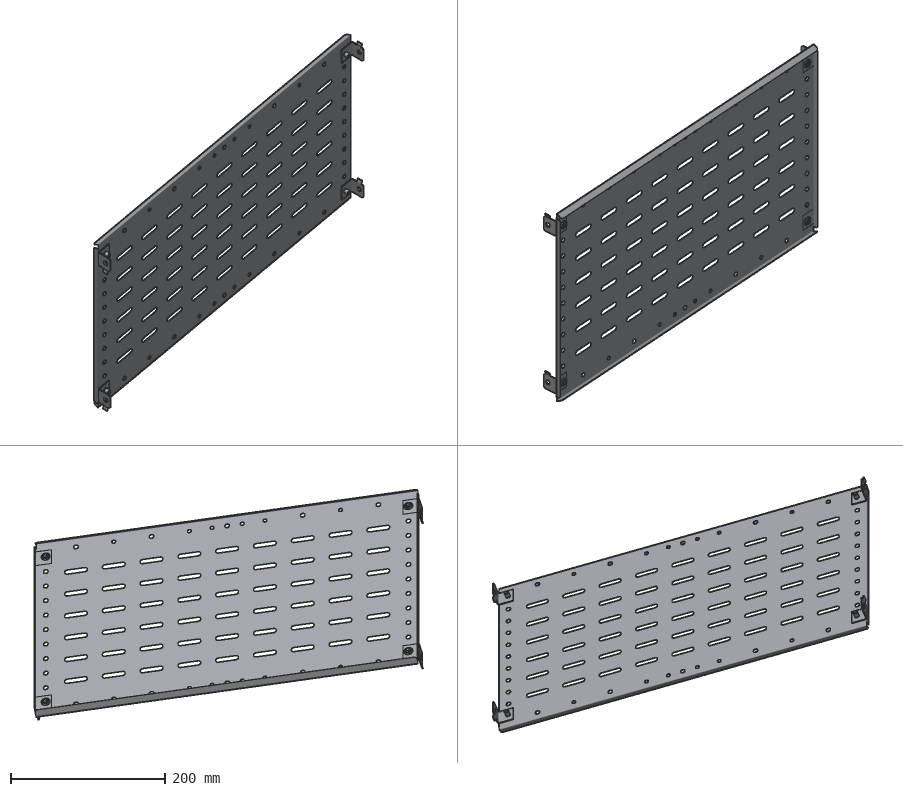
import cadquery as cq
import math

SHEET = 1.0
PANEL_BACK = 9.5
PANEL_FRONT = PANEL_BACK - SHEET
HALF_WIDTH = 253.5
HALF_HEIGHT = 149.0
BEND_RADIUS = 1.3
INNER_BEND_RADIUS = BEND_RADIUS - SHEET

LIP_SLOPE = 30
LIP_HALF_LENGTH = HALF_WIDTH - SHEET
LIP_CORNER = 2.5

FLANGE_FRONT = 2.0
FLANGE_HALF_HEIGHT = 141.0
FLANGE_CORNER = 2.5

SLOT_LENGTH = 30.0
SLOT_WIDTH = 7.0
SLOT_COLUMNS = 9
SLOT_ROWS = 6
COLUMN_SPAN = 400.0
ROW_SPAN = 187.5
COLUMN_PITCH = COLUMN_SPAN / (SLOT_COLUMNS - 1)
ROW_PITCH = ROW_SPAN / (SLOT_ROWS - 1)
EDGE_ROW_Z = 135.0
LARGE_HOLE = 6.0
SMALL_HOLE = 5.0
EXTRA_HOLE_Y = 20.0

SIDE_COLUMN_Y = 240.0
BOLT_Z = 125.0
SIDE_HOLE_COUNT = 9
SIDE_HOLE_PITCH = 2 * BOLT_Z / (SIDE_HOLE_COUNT + 1)

BRACKET_SHEET = 1.5
BRACKET_HALF_HEIGHT = 12.0
BRACKET_INNER_Y = 232.5
BRACKET_REAR = 30.5
BRACKET_BEND_RADIUS = 2.0
BRACKET_CORNER = 2.5
EAR_HOLE_OUTER = 7.0
EAR_HOLE_INNER = 5.0
TAB_X = 23.0
TAB_WIDTH = 7.5
TAB_LENGTH = 5.0
TAB_TILT = 18
OUTER_Y = 256
EAR_Y = OUTER_Y - TAB_LENGTH * math.sin(math.radians(TAB_TILT))

SHANK_DIAMETER = 6.0
SHANK_END = 18.0
SHANK_CHAMFER = 1.0
COLLAR_DIAMETER = 12.0
COLLAR_HEIGHT = 2.0
BUTTON_DIAMETER = 6.5
BUTTON_HEIGHT = 2.0
HEAD_CHAMFER = 1.3


def box(x_range, y_range, z_range):
    """A box between two limits on each axis."""
    size = [high - low for low, high in (x_range, y_range, z_range)]
    corner = (x_range[0], y_range[0], z_range[0])
    return cq.Workplane("XY").box(*size, centered=False).translate(corner)


def lip():
    """The upper lip: the panel's edge bent forward and down, with a strip of the panel below it."""
    slope = math.radians(LIP_SLOPE)
    axis_x = PANEL_BACK - BEND_RADIUS
    axis_z = HALF_HEIGHT - BEND_RADIUS

    def on_bend(radius, angle):
        return (axis_x + radius * math.cos(angle), axis_z + radius * math.sin(angle))

    end_angle = math.pi / 2 + slope
    middle_angle = end_angle / 2
    outer_end = on_bend(BEND_RADIUS, end_angle)
    inner_end = on_bend(INNER_BEND_RADIUS, end_angle)
    length = outer_end[0] / math.cos(slope)
    run = (-length * math.cos(slope), -length * math.sin(slope))
    return (
        cq.Workplane("XZ", origin=(0, LIP_HALF_LENGTH, 0))
        .moveTo(PANEL_FRONT, FLANGE_HALF_HEIGHT)
        .lineTo(PANEL_BACK, FLANGE_HALF_HEIGHT)
        .lineTo(PANEL_BACK, axis_z)
        .threePointArc(on_bend(BEND_RADIUS, middle_angle), outer_end)
        .line(*run)
        .lineTo(inner_end[0] + run[0], inner_end[1] + run[1])
        .lineTo(*inner_end)
        .threePointArc(on_bend(INNER_BEND_RADIUS, middle_angle), (PANEL_FRONT, axis_z))
        .close()
        .extrude(2 * LIP_HALF_LENGTH)
        .faces("<X")
        .edges("not |Y")
        .chamfer(LIP_CORNER)
    )


def folded_plate():
    """The panel with its side flanges, before the lips and openings."""
    width = (-HALF_WIDTH, HALF_WIDTH)
    inner_width = (-HALF_WIDTH + SHEET, HALF_WIDTH - SHEET)
    height = (-FLANGE_HALF_HEIGHT, FLANGE_HALF_HEIGHT)
    tray = box((FLANGE_FRONT, PANEL_BACK), width, height)
    tray = tray.edges("|Z and >X").fillet(BEND_RADIUS)
    tray = tray.edges("|Y and <X").chamfer(FLANGE_CORNER)
    hollow = box((0, PANEL_FRONT), inner_width, height)
    hollow = hollow.edges("|Z and >X").fillet(INNER_BEND_RADIUS)
    return tray.cut(hollow)


def drill(diameter, points):
    """Cylinders along X through the panel at (Y, Z) points."""
    return cq.Workplane("YZ").pushPoints(points).circle(diameter / 2).extrude(BRACKET_REAR)


def centred(count, pitch):
    """Evenly spaced positions, centred on zero."""
    return [(step - (count - 1) / 2) * pitch for step in range(count)]


def slots():
    """The grid of slots, as bodies to cut away."""
    return (
        cq.Workplane("YZ")
        .rarray(COLUMN_PITCH, ROW_PITCH, SLOT_COLUMNS, SLOT_ROWS)
        .slot2D(SLOT_LENGTH, SLOT_WIDTH)
        .extrude(BRACKET_REAR)
    )


def round_holes():
    """All round holes of the panel, as bodies to cut away."""
    columns = centred(SLOT_COLUMNS, COLUMN_PITCH)
    large_ys = columns[::2]
    small_ys = columns[1::2] + [-EXTRA_HOLE_Y, EXTRA_HOLE_Y]
    large = [(y, z) for y in large_ys for z in (-EDGE_ROW_Z, EDGE_ROW_Z)]
    small = [(y, z) for y in small_ys for z in (-EDGE_ROW_Z, EDGE_ROW_Z)]
    sides = (-SIDE_COLUMN_Y, SIDE_COLUMN_Y)
    large += [(y, z) for y in sides for z in centred(SIDE_HOLE_COUNT, SIDE_HOLE_PITCH)]
    bolted = [(y, z) for y in sides for z in (-BOLT_Z, BOLT_Z)]
    holes = drill(LARGE_HOLE, large).add(drill(SMALL_HOLE, small))
    return holes.add(drill(SHANK_DIAMETER, bolted)).combine()


def panel():
    """The folded plate with its two lips and all its openings."""
    body = folded_plate().union(lip()).union(lip().mirror("XY"))
    return body.cut(slots()).cut(round_holes())


def tab():
    """The tab on the upper edge of the ear, tilted outward."""
    tilt = math.radians(TAB_TILT)
    inner_face = EAR_Y - BRACKET_SHEET
    tip_z = BRACKET_HALF_HEIGHT + TAB_LENGTH * math.cos(tilt)
    inner_tip = (OUTER_Y - BRACKET_SHEET * math.cos(tilt), tip_z + BRACKET_SHEET * math.sin(tilt))
    outline = [
        (inner_face, BRACKET_HALF_HEIGHT),
        inner_tip,
        (OUTER_Y, tip_z),
        (EAR_Y, BRACKET_HALF_HEIGHT),
    ]
    start = cq.Workplane("YZ", origin=(TAB_X - TAB_WIDTH / 2, 0, 0))
    return start.polyline(outline).close().extrude(TAB_WIDTH)


def bracket():
    """The bracket on the +Y side, with its middle at Z = 0."""
    height = (-BRACKET_HALF_HEIGHT, BRACKET_HALF_HEIGHT)
    angle = box((PANEL_BACK, BRACKET_REAR), (BRACKET_INNER_Y, EAR_Y), height)
    angle = angle.edges("|Z and <X and >Y").fillet(BRACKET_BEND_RADIUS)
    angle = angle.edges("|Y and >X").chamfer(BRACKET_CORNER)
    inner_face = EAR_Y - BRACKET_SHEET
    space = box((PANEL_BACK + BRACKET_SHEET, BRACKET_REAR), (BRACKET_INNER_Y, inner_face), height)
    space = space.edges("|Z and <X and >Y").fillet(BRACKET_BEND_RADIUS - BRACKET_SHEET)
    ear_hole = cq.Solid.makeCone(
        EAR_HOLE_OUTER / 2,
        EAR_HOLE_INNER / 2,
        BRACKET_SHEET,
        pnt=cq.Vector(TAB_X, EAR_Y, 0),
        dir=cq.Vector(0, -1, 0),
    )
    base_hole = drill(SHANK_DIAMETER, [(SIDE_COLUMN_Y, 0)])
    return angle.cut(space).union(tab()).cut(cq.Workplane(ear_hole)).cut(base_hole)


def bolt():
    """A bolt along the X axis: a chamfered collar, a button on its front and a shank behind."""
    seat = cq.Workplane("YZ", origin=(PANEL_FRONT, 0, 0))
    collar = seat.circle(COLLAR_DIAMETER / 2).extrude(-COLLAR_HEIGHT)
    collar = collar.faces("<X").chamfer(HEAD_CHAMFER)
    button = seat.circle(BUTTON_DIAMETER / 2).extrude(-COLLAR_HEIGHT - BUTTON_HEIGHT)
    button = button.faces("<X").chamfer(HEAD_CHAMFER)
    shank = seat.circle(SHANK_DIAMETER / 2).extrude(SHANK_END - PANEL_FRONT)
    shank = shank.faces(">X").chamfer(SHANK_CHAMFER)
    return collar.union(button).union(shank)


brackets = []
bolts = []
for z in (-BOLT_Z, BOLT_Z):
    for turn in (0, 180):
        brackets.append(bracket().translate((0, 0, z)).rotate((0, 0, 0), (1, 0, 0), turn))
    for y in (-SIDE_COLUMN_Y, SIDE_COLUMN_Y):
        bolts.append(bolt().translate((0, y, z)))

bodies = [panel(), *brackets, *bolts]
result = cq.Compound.makeCompound([body.solids().val() for body in bodies])